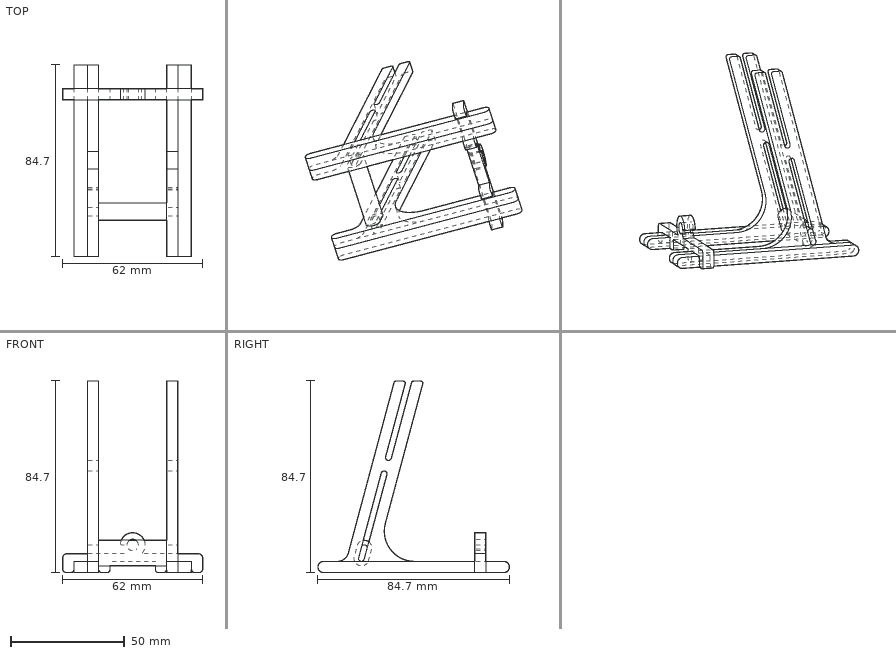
import cadquery as cq
import math


foot_length = 84.7
foot_height = 5.0
rail_width = 6.0

frame_thickness = 5.0
frame_inner_x = 15.0
frame_outer_x = frame_inner_x + frame_thickness
stand_height = 84.7
lean = math.radians(15)
tine_width = 5.0
slot_width = 2.5
arm_width = 2 * tine_width + slot_width
arm_front_y = 12.45
front_fillet = 5.0
back_fillet = 13.3
tip_fillet = 1.0

slot_radius = slot_width / 2
slot_bottom_z = foot_height + slot_radius
lower_slot_length = 38.7
slot_bridge = 5.0

bar_length = 5.0
bar_shoulder = 2.0
bar_radius = slot_radius + bar_shoulder

clip_back_gap = 10.4
clip_depth = 5.0
clip_wall = 5.0
clip_beam = 3.4
clip_outer_x = frame_outer_x + rail_width + clip_wall
clip_top_z = foot_height + clip_beam
clip_front_y = foot_length - clip_back_gap - clip_depth
clip_back_y = clip_front_y + clip_depth
clip_top_fillet = 2.0
leg_outer_fillet = 1.7
leg_inner_fillet = 1.3

hook_radius = 5.5
hook_bore_radius = 2.5
hook_z = 12.2
hook_lip_fillet = 0.8

arm_span_y = arm_width / math.cos(lean)
slot_bottom_y = arm_front_y + arm_span_y / 2 + slot_radius * math.tan(lean)


def extrude_yz(sketch_points, x_start, thickness):
    """Prism of a closed YZ outline, from x_start toward +X."""
    return cq.Workplane("YZ", origin=(x_start, 0, 0)).polyline(sketch_points).close().extrude(thickness)


def along_slot(distance):
    """YZ point on the slot centre line, measured up the slope from the lowest end centre."""
    return (
        slot_bottom_y + distance * math.sin(lean),
        slot_bottom_z + distance * math.cos(lean),
    )


def leaning_stadium(start, end, radius, x_start, thickness):
    """Round-ended bar along the slot centre line between two distances up the slope."""
    mid_y, mid_z = along_slot((start + end) / 2)
    return (
        cq.Workplane("YZ", origin=(x_start, mid_y, mid_z))
        .slot2D(end - start + 2 * radius, 2 * radius, 90 - math.degrees(lean))
        .extrude(thickness)
    )


def make_foot(x_start, width):
    """Strip along the floor with fully rounded ends."""
    return (
        cq.Workplane("YZ", origin=(x_start, foot_length / 2, foot_height / 2))
        .slot2D(foot_length, foot_height)
        .extrude(width)
    )


def make_frame(x_start):
    """Foot and leaning, slotted arm in one piece."""
    tip_shift = (stand_height - foot_height) * math.tan(lean)
    half_foot_z = foot_height / 2
    root_shift = (foot_height - half_foot_z) * math.tan(lean)
    arm = extrude_yz(
        [
            (arm_front_y - root_shift, half_foot_z),
            (arm_front_y + arm_span_y - root_shift, half_foot_z),
            (arm_front_y + arm_span_y + tip_shift, stand_height),
            (arm_front_y + tip_shift, stand_height),
        ],
        x_start,
        frame_thickness,
    )
    frame = make_foot(x_start, frame_thickness).union(arm)

    def root_edge(y):
        return cq.selectors.NearestToPointSelector((x_start + frame_thickness / 2, y, foot_height))

    frame = frame.edges("|X").edges(root_edge(arm_front_y)).fillet(front_fillet)
    frame = frame.edges("|X").edges(root_edge(arm_front_y + arm_span_y)).fillet(back_fillet)

    upper_start = lower_slot_length + slot_bridge + slot_width
    upper_end = stand_height / math.cos(lean)
    frame = frame.cut(leaning_stadium(0, lower_slot_length, slot_radius, x_start, frame_thickness))
    frame = frame.cut(leaning_stadium(upper_start, upper_end, slot_radius, x_start, frame_thickness))
    return frame.faces(">Z").edges("|X").fillet(tip_fillet)


def make_crossbar():
    """Rounded bar between the frames, with a slimmer tenon filling each slot's lower end."""
    body = leaning_stadium(0, bar_length, bar_radius, -frame_inner_x, 2 * frame_inner_x)
    tenon = leaning_stadium(0, bar_length, slot_radius, -frame_outer_x, 2 * frame_outer_x)
    return body.union(tenon)


def make_hook():
    """Ring open on its -X side between the lip and a ramp, and the bore through it."""
    def disc(radius):
        plane = cq.Workplane("XZ", origin=(0, clip_back_y, hook_z))
        return plane.circle(radius).extrude(clip_depth)

    drop = clip_top_z - hook_z
    ramp_foot_x = -math.sqrt(hook_radius**2 - drop**2)
    opening = (
        cq.Workplane("XZ", origin=(0, clip_back_y, hook_z))
        .polyline([(0, 0), (2 * ramp_foot_x, 0), (2 * ramp_foot_x, drop), (ramp_foot_x, drop)])
        .close()
        .extrude(clip_depth)
    )
    ring = disc(hook_radius).cut(opening)
    lip_corner = cq.selectors.NearestToPointSelector((-hook_radius, clip_front_y + clip_depth / 2, hook_z))
    return ring.edges("|Y").edges(lip_corner).fillet(hook_lip_fillet), disc(hook_bore_radius)


def make_clip():
    """Beam resting on both feet, with legs gripping each foot from either side."""
    def block(x_min, x_max, z_min, z_max):
        return (
            cq.Workplane("XY")
            .box(x_max - x_min, clip_depth, z_max - z_min, centered=False)
            .translate((x_min, clip_front_y, z_min))
        )

    clip = block(-clip_outer_x, clip_outer_x, 0, clip_top_z)
    clip = clip.edges("|Y and >Z").fillet(clip_top_fillet)
    clip = clip.edges("|Y and <Z").fillet(leg_outer_fillet)
    leg_inner_x = frame_inner_x - clip_wall
    clip = clip.cut(block(-leg_inner_x, leg_inner_x, 0, foot_height))
    for x_min in (-frame_outer_x - rail_width, frame_inner_x):
        clip = clip.cut(block(x_min, x_min + rail_width + frame_thickness, 0, foot_height))

    corner_x = clip_outer_x - clip_wall / 2
    corner_z = foot_height / 5
    inner_corners = cq.selectors.BoxSelector(
        (-corner_x, clip_front_y - clip_depth, -corner_z),
        (corner_x, clip_back_y + clip_depth, corner_z),
    )
    clip = clip.edges("|Y").edges(inner_corners).fillet(leg_inner_fillet)
    ring, bore = make_hook()
    return clip.union(ring).cut(bore)


rails = [make_foot(x, rail_width) for x in (-frame_outer_x - rail_width, frame_outer_x)]
frames = [make_frame(x) for x in (-frame_outer_x, frame_inner_x)]
crossbar = make_crossbar()
clip = make_clip()

result = cq.Compound.makeCompound(
    [*[rail.val() for rail in rails], *[frame.val() for frame in frames], crossbar.val(), clip.val()]
)